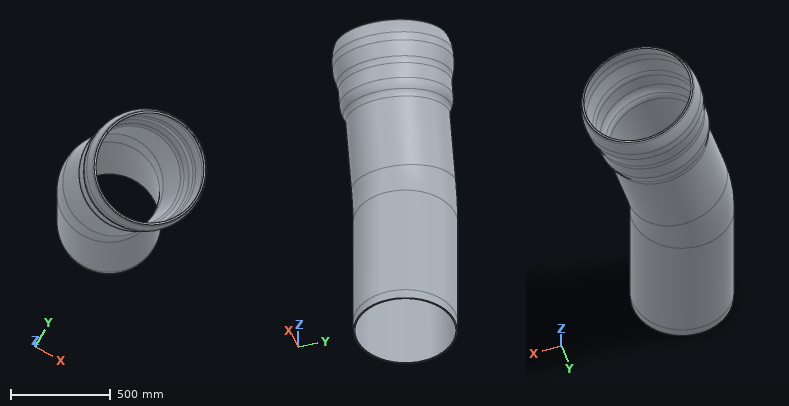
import cadquery as cq

outer_radius = 530 / 2
wall = 10
straight_length = 700
bend_angle = 15
bend_radius = 830

taper_length = 50
taper_depth = 3

seat_radius = 578 / 2
bulge_radius = 618 / 2
lip_radius = 588 / 2
mouth_radius = 578 / 2

upper_pipe_length = 382.8
first_flare_length = 93
seat_length = 82.5
second_flare_length = 117.5
bulge_length = 45
mouth_arc_length = 73
lip_length = 8

first_flare_concave_share = 0.41
second_flare_concave_share = 0.30


def solid_of_revolution(outline):
    """Revolve a closed outline, drawn as (radius, height), about its height axis."""
    return outline.close().revolve(360, (0, 0, 0), (0, 1, 0))


def spigot():
    """Straight lower pipe with a slightly tapered outer lead-in."""
    inner_radius = outer_radius - wall
    outline = (
        cq.Workplane("XZ")
        .moveTo(inner_radius, 0)
        .lineTo(outer_radius - taper_depth, 0)
        .lineTo(outer_radius, taper_length)
        .lineTo(outer_radius, straight_length)
        .lineTo(inner_radius, straight_length)
    )
    return solid_of_revolution(outline)


def bend():
    """Toroidal elbow leaning toward +X."""
    return (
        cq.Workplane("XY", origin=(0, 0, straight_length))
        .circle(outer_radius)
        .circle(outer_radius - wall)
        .revolve(bend_angle, (bend_radius, 0, 0), (bend_radius, 1, 0))
    )


def socket_body(inset):
    """Solid bounded by the socket's outer surface moved inward by `inset`."""
    heights = [0]
    for length in (
        upper_pipe_length,
        first_flare_length,
        seat_length,
        second_flare_length,
        bulge_length,
        mouth_arc_length,
        lip_length,
    ):
        heights.append(heights[-1] + length)
    _, flare_1, seat, flare_2, bulge_start, bulge_end, lip, mouth = heights

    def flare(outline, start_height, end_height, start_radius, end_radius, concave_share):
        """Add an S-shaped flare: a concave arc tangent to a convex one."""
        bottom_radius = start_radius - inset
        middle_radius = bottom_radius + concave_share * (end_radius - start_radius)
        middle_height = start_height + concave_share * (end_height - start_height)
        return (
            outline.lineTo(bottom_radius, start_height)
            .tangentArcPoint((middle_radius, middle_height), relative=False)
            .tangentArcPoint((end_radius - inset, end_height), relative=False)
        )

    outline = cq.Workplane("XZ").lineTo(outer_radius - inset, 0)
    outline = flare(outline, flare_1, seat, outer_radius, seat_radius, first_flare_concave_share)
    outline = flare(
        outline, flare_2, bulge_start, seat_radius, bulge_radius, second_flare_concave_share
    )
    outline = (
        outline.lineTo(bulge_radius - inset, bulge_end)
        .tangentArcPoint((lip_radius - inset, lip), relative=False)
        .lineTo(mouth_radius - inset, mouth)
        .lineTo(0, mouth)
    )
    return solid_of_revolution(outline)


def inclined_socket():
    """Upper pipe and socket, set on the end of the bend."""
    return (
        socket_body(0)
        .cut(socket_body(wall))
        .translate((0, 0, straight_length))
        .rotate((bend_radius, 0, straight_length), (bend_radius, 1, straight_length), bend_angle)
    )


result = spigot().union(bend()).union(inclined_socket())